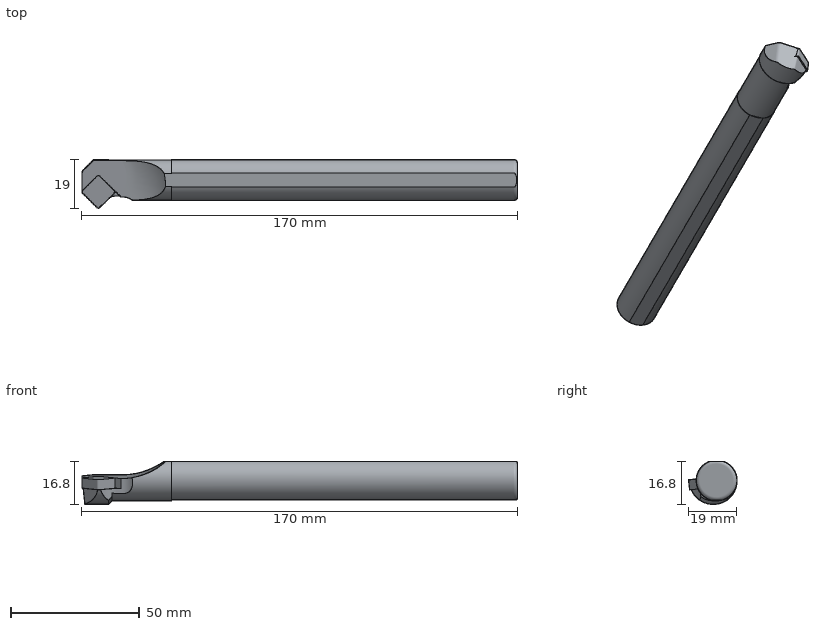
import cadquery as cq
import math


total_length = 170.0
shank_radius = 8.0
neck_end = 35.0
neck_radius = 7.9
flat_height = 7.5
end_radius = 1.5

head_radius = 9.3
head_axis_y = shank_radius - head_radius
head_length = 11.8
head_back_chamfer = head_radius - neck_radius

rake_angle = 6.0
rake_height = 1.5
rake_disc_center_x = 4.5
rake_disc_center_y = 1.0
rake_disc_radius = 13.0
cutter_height = 12.0
runout_radius = 21.8

insert_side = 9.525
insert_thickness = 3.97
insert_nose_radius = 0.8
tip_reach = 11.0
half_diagonal = insert_side / math.sqrt(2)
nose_setback = insert_nose_radius * (math.sqrt(2) - 1)
insert_half_width = half_diagonal - nose_setback
insert_x = insert_half_width
insert_y = insert_half_width - tip_reach / math.cos(math.radians(rake_angle))

flank_relief = 6.0
flank_setback = 0.1
corner_y = 3.5
corner_radius = 2.0
relief_wall_y = -6.7
relief_wall_end = 16.0
relief_radius = 6.0
outside = 60.0
cut_depth = 14.0
tip_y = insert_y - half_diagonal + flank_setback * math.sqrt(2)

rake_plane = cq.Plane(
    origin=(0, 0, rake_height),
    xDir=(1, 0, 0),
    normal=(0, -math.sin(math.radians(rake_angle)), math.cos(math.radians(rake_angle))),
)


def rod(radius, start, length, axis_y=0.0):
    """Round bar along X."""
    return cq.Workplane("YZ", origin=(start, axis_y, 0)).circle(radius).extrude(length)


def round_edge(solid, x, y, radius, depth):
    """Round the upright edge that runs from (x, y) on the rake face to the given depth."""
    edge_middle = rake_plane.toWorldCoords((x, y, -depth / 2))
    return solid.edges(cq.selectors.NearestToPointSelector(edge_middle.toTuple())).fillet(radius)


def make_shank():
    shank = rod(shank_radius, neck_end, total_length - neck_end)
    shank = shank.faces(">X").fillet(end_radius)
    between_flats = cq.Workplane("XY").box(2 * total_length, outside, 2 * flat_height)
    return shank.intersect(between_flats)


def make_neck():
    neck = rod(neck_radius, 0, neck_end)
    below_flat = cq.Workplane("XY").box(2 * neck_end, outside, outside)
    return neck.intersect(below_flat.translate((0, 0, flat_height - outside / 2)))


def make_head():
    head = rod(head_radius, 0, head_length, head_axis_y)
    return head.faces(">X").chamfer(head_back_chamfer)


def inside_flanks():
    """Everything inside the flanks below the rake face, and the bar above it behind the insert."""
    leaning_flanks = (
        cq.Workplane(rake_plane)
        .moveTo(0, corner_y)
        .lineTo(0, tip_y + insert_x)
        .lineTo(tip_y + insert_x + outside, -outside)
        .lineTo(outside, -outside)
        .lineTo(outside, outside + corner_y)
        .close()
        .extrude(-cut_depth, taper=flank_relief)
    )
    flanks = leaning_flanks.cut(side_relief())
    flanks = round_edge(flanks, 0, corner_y, corner_radius, cut_depth)
    flanks = round_edge(flanks, 0, tip_y + insert_x, insert_nose_radius, cut_depth)
    flanks = round_edge(flanks, insert_x, tip_y, insert_nose_radius, cut_depth)
    above_rake = cq.Workplane(rake_plane).rect(2 * outside, 2 * outside).extrude(cut_depth)
    return flanks.union(above_rake.cut(side_relief()))


def side_relief():
    """Hollow in the -Y side behind the insert, its floor running out through arcs at both ends."""
    slope_end = insert_x + relief_wall_y - tip_y
    blend_half_turn = math.radians(45 / 2)
    blend_run = relief_radius * math.tan(blend_half_turn)
    blend_leg = blend_run / math.sqrt(2)
    runout_x = relief_wall_end + relief_radius
    runout_y = relief_wall_y - relief_radius
    return (
        cq.Workplane(rake_plane)
        .moveTo(insert_x, tip_y)
        .lineTo(slope_end - blend_leg, relief_wall_y - blend_leg)
        .radiusArc((slope_end + blend_run, relief_wall_y), relief_radius)
        .lineTo(relief_wall_end, relief_wall_y)
        .radiusArc((runout_x, runout_y), relief_radius)
        .lineTo(runout_x, tip_y - relief_radius)
        .lineTo(insert_x, tip_y - relief_radius)
        .close()
        .extrude(cut_depth, both=True)
    )


def material_above_rake():
    """The rake cutter: a flat disc whose rim sweeps up through an arc."""
    run = math.sqrt(runout_radius**2 - (runout_radius - cutter_height) ** 2)
    mid_angle = math.asin(run / runout_radius) / 2
    arc_mid = (
        rake_disc_radius + runout_radius * math.sin(mid_angle),
        runout_radius * (1 - math.cos(mid_angle)),
    )
    center = rake_plane.toWorldCoords((rake_disc_center_x, rake_disc_center_y))
    return (
        cq.Workplane(cq.Plane(center, rake_plane.xDir, -rake_plane.yDir))
        .lineTo(rake_disc_radius, 0)
        .threePointArc(arc_mid, (rake_disc_radius + run, cutter_height))
        .lineTo(0, cutter_height)
        .close()
        .revolve(360, (0, 0, 0), (0, 1, 0))
    )


def insert_pocket():
    """Seat of the insert, open along its two cutting edges and past its two side corners."""
    size = 2 * insert_side
    back_corner_y = insert_y + half_diagonal
    pocket = (
        cq.Workplane(rake_plane)
        .center(insert_x, back_corner_y)
        .transformed(rotate=(0, 0, 225))
        .rect(size, size, centered=False)
        .extrude(-insert_thickness)
    )
    return round_edge(pocket, insert_x, back_corner_y, insert_nose_radius, insert_thickness)


def make_insert():
    return (
        cq.Workplane(rake_plane)
        .center(insert_x, insert_y)
        .transformed(rotate=(0, 0, 45))
        .rect(insert_side, insert_side)
        .extrude(-insert_thickness)
        .edges(cq.selectors.ParallelDirSelector(rake_plane.zDir))
        .fillet(insert_nose_radius)
    )


front = make_neck().union(make_head())
front = front.intersect(inside_flanks())
front = front.cut(material_above_rake()).cut(insert_pocket())
holder = make_shank().union(front)
insert = make_insert()

result = cq.Compound.makeCompound([holder.solids().val(), insert.solids().val()])